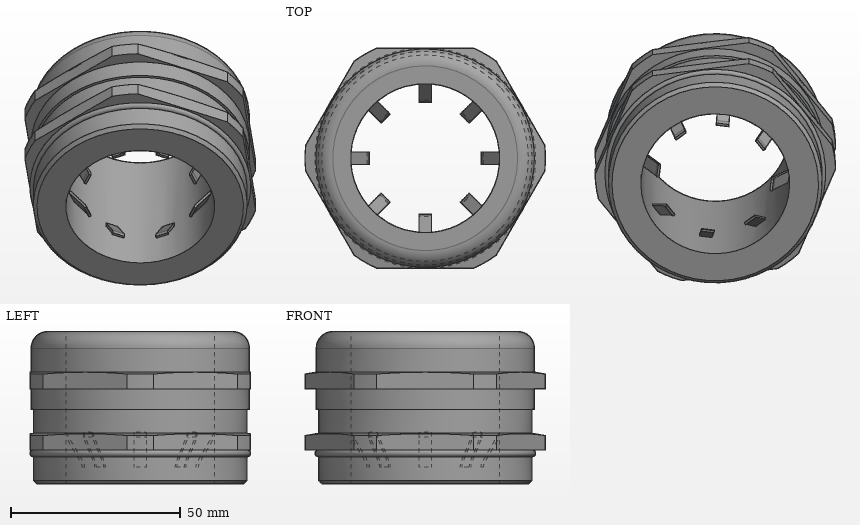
import cadquery as cq
import math

total_height = 45.0
bore_radius = 21.95

body_radius = 31.5
body_chamfer = 1.1
body_top = 22.0

cap_radius = 32.2
cap_fillet = 5.0

across_corners = 71.0
across_flats = 65.0
hex_height = 5.0
hex_cone_angle = 10.0
lower_hex_bottom = 10.0
upper_hex_bottom = 28.05

ring_section_radius = 1.0
ring_center_radius = 31.6

finger_count = 8
finger_width = 3.75
finger_thickness = 0.7
finger_slope = 60.0
finger_root_height = 15.35
finger_tip_radius = 16.5
finger_bend_radius = 3.2
finger_embed = 1.1


def cylinder(radius, bottom, top):
    return cq.Workplane("XY").workplane(offset=bottom).circle(radius).extrude(top - bottom)


def hex_collar(bottom, neck_radius):
    """Hexagon with corners turned round; its top is a shallow cone rising to the neck above it."""
    top = bottom + hex_height
    corner_radius = across_corners / 2
    cone_drop = (corner_radius - neck_radius) * math.tan(math.radians(hex_cone_angle))
    hexagon = (
        cq.Workplane("XY")
        .workplane(offset=bottom)
        .polygon(6, across_flats / math.cos(math.pi / 6))
        .extrude(hex_height)
    )
    turned_blank = (
        cq.Workplane("XZ")
        .moveTo(0, bottom)
        .lineTo(corner_radius, bottom)
        .lineTo(corner_radius, top - cone_drop)
        .lineTo(neck_radius, top)
        .lineTo(0, top)
        .close()
        .revolve(360, (0, 0, 0), (0, 1, 0))
    )
    return hexagon.intersect(turned_blank)


def sealing_ring():
    """Bead with a half-round outer face; its square inner side is buried in the body."""
    top = lower_hex_bottom
    bottom = top - 2 * ring_section_radius
    buried_radius = ring_center_radius - ring_section_radius
    return (
        cq.Workplane("XZ")
        .moveTo(buried_radius, bottom)
        .lineTo(ring_center_radius, bottom)
        .threePointArc(
            (ring_center_radius + ring_section_radius, (bottom + top) / 2),
            (ring_center_radius, top),
        )
        .lineTo(buried_radius, top)
        .close()
        .revolve(360, (0, 0, 0), (0, 1, 0))
    )


def spring_finger():
    """Strip that slopes down from the bore wall, then bends until it hangs vertically."""
    slope = math.radians(finger_slope)
    bend_center_x = finger_tip_radius + finger_bend_radius
    inner_bend_radius = finger_bend_radius - finger_thickness

    face_x = bend_center_x - finger_bend_radius * math.sin(slope)
    face_z = finger_root_height - (bore_radius - face_x) * math.tan(slope)
    bend_center_z = face_z - finger_bend_radius * math.cos(slope)

    def bend_point(radius, angle):
        return (bend_center_x - radius * math.sin(angle), bend_center_z + radius * math.cos(angle))

    mid_bend = (slope + math.pi / 2) / 2
    upper_root_x = bore_radius + finger_embed
    upper_root = (upper_root_x, finger_root_height + finger_embed * math.tan(slope))
    lower_root = (
        upper_root[0] + finger_thickness * math.sin(slope),
        upper_root[1] - finger_thickness * math.cos(slope),
    )
    return (
        cq.Workplane("XZ")
        .moveTo(*upper_root)
        .lineTo(*bend_point(finger_bend_radius, slope))
        .threePointArc(bend_point(finger_bend_radius, mid_bend), bend_point(finger_bend_radius, math.pi / 2))
        .lineTo(*bend_point(inner_bend_radius, math.pi / 2))
        .threePointArc(bend_point(inner_bend_radius, mid_bend), bend_point(inner_bend_radius, slope))
        .lineTo(*lower_root)
        .close()
        .extrude(finger_width / 2, both=True)
    )


body = cylinder(body_radius, 0, body_top).faces("<Z").chamfer(body_chamfer)
cap = cylinder(cap_radius, body_top, total_height).faces(">Z").edges().fillet(cap_fillet)

shell = body.union(cap).union(sealing_ring())
shell = shell.union(hex_collar(lower_hex_bottom, body_radius))
shell = shell.union(hex_collar(upper_hex_bottom, cap_radius))

result = shell.cut(cylinder(bore_radius, 0, total_height))
finger = spring_finger()
for index in range(finger_count):
    result = result.union(finger.rotate((0, 0, 0), (0, 0, 1), index * 360 / finger_count))